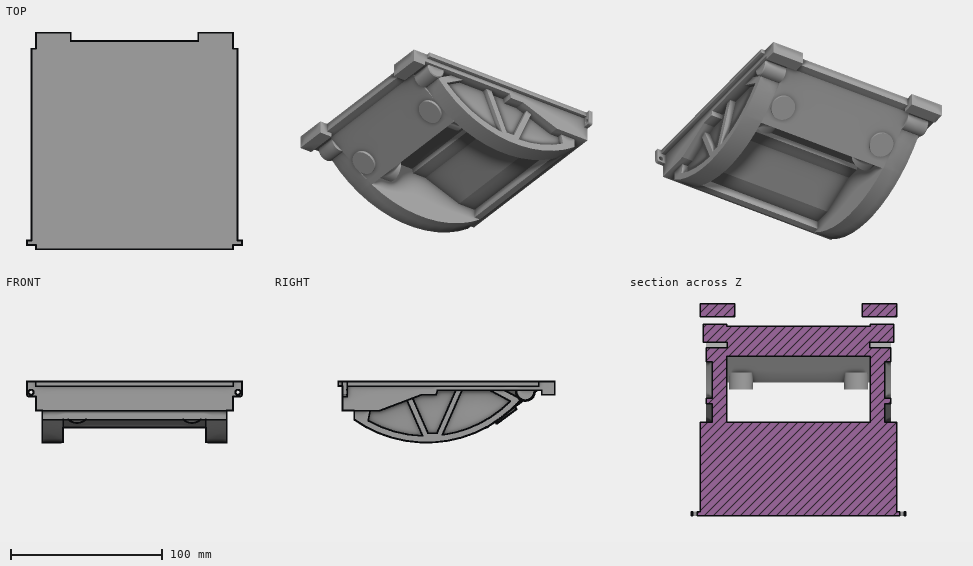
import cadquery as cq
import math


PLATE_HALF_WIDTH = 68.0
PLATE_THICKNESS = 3.0
PLATE_FRONT = -65.6
PLATE_BACK = 61.0

BODY_HALF_WIDTH = 65.0
BODY_FRONT = -68.6
BODY_BACK = 66.1
BODY_THIN_BOTTOM = -5.9
BODY_STEP_TOP_Y = -6.0
BODY_STEP_FOOT_Y = -6.9
BODY_STEP_BOTTOM = -8.9
BODY_SLOPE_TOP_Y = -16.8
BODY_SLOPE_FOOT_Y = -43.9
BODY_DEEP_BOTTOM = -19.2
LIP_FRONT = -71.5

LUG_BACK = 71.5
LUG_FRONT = 62.7
LUG_INNER_X = 42.0
LUG_BOTTOM = -8.8

TAB_HALF_SPAN = 70.95
TAB_BOTTOM = -10.0
TAB_CORNER_RADIUS = 1.6
TAB_HOLE_X = 68.2
TAB_HOLE_Z = -7.1
TAB_HOLE_DIAMETER = 3.2

RIB_OUTER_X = 60.9
RIB_WIDTH = 13.8
RIB_INNER_X = RIB_OUTER_X - RIB_WIDTH
RIB_FRONT = -60.9
RIB_BACK = 49.3
RIB_LOWEST_Z = -40.36
ARC_CENTER_Y = -13.2
ARC_RADIUS = 82.5
ARC_CENTER_Z = RIB_LOWEST_Z + ARC_RADIUS
RIB_BACK_SLOPE = math.tan(math.radians(28.2))

RECESS_DEPTH = 4.0
RIM_INNER_RADIUS = 78.1
BACK_RECESS_CORNER_Y = 42.1
FRONT_RECESS_CORNER_Y = -51.7
FRONT_RECESS_TOP_Y = -50.3
SPOKE_CENTER_Y = -9.25
SPOKE_SLOPE = math.tan(math.radians(23.7))
MIDDLE_RECESS_BOTTOM_Z = -34.0
MIDDLE_RECESS_HALF_BOTTOM = 3.0
SPOKE_FOOT_HALF_SPAN = 6.5

FRONT_WALL_THICKNESS = ARC_RADIUS - RIM_INNER_RADIUS

BARREL_Y = 52.0
BARREL_RADIUS = 6.4
BARREL_BOTTOM = -12.9
BARREL_OUTER_X = 63.0
BARREL_CHAMFER = 0.6
BARREL_Z = BARREL_BOTTOM + BARREL_RADIUS

BACK_WALL_ANGLE = 36.5
BACK_WALL_OFFSET = 82.0
BACK_WALL_THICKNESS = 12.0
BACK_WALL_BOTTOM = -30.4

FOOT_X = 37.9
FOOT_RADIUS = 8.2
FOOT_HEIGHT = 1.9
FOOT_ALONG_WALL = 3.7
BOSS_RADIUS = 8.0
BOSS_BOTTOM = -27.4
BOSS_FRONT = 15.0
BOSS_BACK = 26.0


def box(x_min, x_max, y_min, y_max, z_min, z_max):
    size = (x_max - x_min, y_max - y_min, z_max - z_min)
    return cq.Workplane("XY").box(*size, centered=False).translate((x_min, y_min, z_min))


def centered_box(half_width, y_min, y_max, z_min, z_max):
    return box(-half_width, half_width, y_min, y_max, z_min, z_max)


def both_sides(solid):
    """The solid together with its mirror image across X = 0."""
    return solid.union(solid.mirror("YZ"))


def side_sketch(x):
    """Workplane at the given X whose local axes are Y and Z."""
    return cq.Workplane("YZ", origin=(x, 0, 0))


def arc_z(y, radius):
    """Height of the lower half of a circle about the rib arc center."""
    return ARC_CENTER_Z - math.sqrt(radius**2 - (y - ARC_CENTER_Y) ** 2)


def arc_point(y, radius):
    return (y, arc_z(y, radius))


def make_plate_and_body():
    plate = centered_box(PLATE_HALF_WIDTH, PLATE_FRONT, PLATE_BACK, -PLATE_THICKNESS, 0)
    lip = centered_box(BODY_HALF_WIDTH, LIP_FRONT, PLATE_FRONT, -PLATE_THICKNESS, 0)
    profile = [
        (BODY_FRONT, 0),
        (BODY_FRONT, BODY_DEEP_BOTTOM),
        (BODY_SLOPE_FOOT_Y, BODY_DEEP_BOTTOM),
        (BODY_SLOPE_TOP_Y, BODY_STEP_BOTTOM),
        (BODY_STEP_FOOT_Y, BODY_STEP_BOTTOM),
        (BODY_STEP_TOP_Y, BODY_THIN_BOTTOM),
        (BODY_BACK, BODY_THIN_BOTTOM),
        (BODY_BACK, 0),
    ]
    body = side_sketch(0).polyline(profile).close().extrude(BODY_HALF_WIDTH, both=True)
    return body.union(plate).union(lip)


def make_lug():
    return box(LUG_INNER_X, BODY_HALF_WIDTH, LUG_FRONT, LUG_BACK, LUG_BOTTOM, 0)


def make_tab():
    tab = box(BODY_HALF_WIDTH, TAB_HALF_SPAN, BODY_FRONT, PLATE_FRONT, TAB_BOTTOM, 0)
    tab = tab.edges("|Y and >X and <Z").fillet(TAB_CORNER_RADIUS)
    hole = (
        cq.Workplane("XZ", origin=(TAB_HOLE_X, PLATE_FRONT, TAB_HOLE_Z))
        .circle(TAB_HOLE_DIAMETER / 2)
        .extrude(PLATE_FRONT - BODY_FRONT)
    )
    return tab.cut(hole)


def recess_cutter(foot_side, corner, top_points):
    """Recess between a spoke and the rim; its top is buried in the body.

    foot_side is 1 for the recess behind the spokes and -1 for the one in front of them.
    """
    top = -PLATE_THICKNESS
    foot = arc_point(SPOKE_CENTER_Y + foot_side * SPOKE_FOOT_HALF_SPAN, RIM_INNER_RADIUS)
    rim_middle = arc_point((foot[0] + corner[0]) / 2, RIM_INNER_RADIUS)
    outline = (
        side_sketch(RIB_OUTER_X - RECESS_DEPTH)
        .moveTo(foot[0] + foot_side * (top - foot[1]) * SPOKE_SLOPE, top)
        .lineTo(*foot)
        .threePointArc(rim_middle, corner)
    )
    for point in top_points:
        outline = outline.lineTo(*point)
    return outline.close().extrude(RECESS_DEPTH)


def make_back_recess():
    top = -PLATE_THICKNESS
    corner = arc_point(BACK_RECESS_CORNER_Y, RIM_INNER_RADIUS)
    top_end = (corner[0] - (top - corner[1]) / RIB_BACK_SLOPE, top)
    return recess_cutter(1, corner, [top_end])


def make_front_recess():
    corner = arc_point(FRONT_RECESS_CORNER_Y, RIM_INNER_RADIUS)
    top_points = [(FRONT_RECESS_TOP_Y, BODY_DEEP_BOTTOM), (FRONT_RECESS_TOP_Y, -PLATE_THICKNESS)]
    return recess_cutter(-1, corner, top_points)


def make_middle_recess():
    top = -PLATE_THICKNESS
    half_top = MIDDLE_RECESS_HALF_BOTTOM + (top - MIDDLE_RECESS_BOTTOM_Z) * SPOKE_SLOPE
    outline = [
        (SPOKE_CENTER_Y - half_top, top),
        (SPOKE_CENTER_Y - MIDDLE_RECESS_HALF_BOTTOM, MIDDLE_RECESS_BOTTOM_Z),
        (SPOKE_CENTER_Y + MIDDLE_RECESS_HALF_BOTTOM, MIDDLE_RECESS_BOTTOM_Z),
        (SPOKE_CENTER_Y + half_top, top),
    ]
    return side_sketch(RIB_OUTER_X - RECESS_DEPTH).polyline(outline).close().extrude(RECESS_DEPTH)


def make_rib():
    top = -PLATE_THICKNESS
    back_corner = arc_point(RIB_BACK, ARC_RADIUS)
    rib = (
        side_sketch(RIB_INNER_X)
        .moveTo(RIB_FRONT, top)
        .lineTo(*arc_point(RIB_FRONT, ARC_RADIUS))
        .threePointArc((ARC_CENTER_Y, RIB_LOWEST_Z), back_corner)
        .lineTo(back_corner[0] - (top - back_corner[1]) / RIB_BACK_SLOPE, top)
        .close()
        .extrude(RIB_WIDTH)
    )
    return rib.cut(make_back_recess()).cut(make_middle_recess()).cut(make_front_recess())


def make_barrel():
    return (
        side_sketch(RIB_INNER_X)
        .center(BARREL_Y, BARREL_Z)
        .circle(BARREL_RADIUS)
        .extrude(BARREL_OUTER_X - RIB_INNER_X)
        .faces(">X")
        .chamfer(BARREL_CHAMFER)
    )


def make_front_wall():
    bottom = arc_z(RIB_FRONT, ARC_RADIUS)
    wall_back = RIB_FRONT + FRONT_WALL_THICKNESS
    return centered_box(RIB_INNER_X, RIB_FRONT, wall_back, bottom, BODY_DEEP_BOTTOM)


def back_wall_point(along, outward):
    """(Y, Z) of a point set off along the back wall and outward from its outer face."""
    angle = math.radians(BACK_WALL_ANGLE)
    reach = BACK_WALL_OFFSET + outward
    y = ARC_CENTER_Y + reach * math.sin(angle) + along * math.cos(angle)
    z = ARC_CENTER_Z - reach * math.cos(angle) + along * math.sin(angle)
    return (y, z)


def along_back_wall_at(z, outward):
    """Distance along the back wall at which the given offset line reaches height z."""
    return (z - back_wall_point(0, outward)[1]) / math.sin(math.radians(BACK_WALL_ANGLE))


def make_back_wall():
    foot = along_back_wall_at(BACK_WALL_BOTTOM, 0)
    outer_top = along_back_wall_at(BODY_THIN_BOTTOM, 0)
    inner_top = along_back_wall_at(BODY_THIN_BOTTOM, -BACK_WALL_THICKNESS)
    profile = [
        back_wall_point(foot, 0),
        back_wall_point(outer_top, 0),
        back_wall_point(inner_top, -BACK_WALL_THICKNESS),
        back_wall_point(foot, -BACK_WALL_THICKNESS),
    ]
    return side_sketch(0).polyline(profile).close().extrude(RIB_INNER_X, both=True)


def make_foot():
    angle = math.radians(BACK_WALL_ANGLE)
    y, z = back_wall_point(FOOT_ALONG_WALL, 0)
    plane = cq.Plane(origin=(FOOT_X, y, z), xDir=(1, 0, 0), normal=(0, math.sin(angle), -math.cos(angle)))
    return cq.Workplane(plane).circle(FOOT_RADIUS).extrude(FOOT_HEIGHT)


def make_boss():
    return (
        cq.Workplane("XZ", origin=(FOOT_X, BOSS_BACK, BOSS_BOTTOM + BOSS_RADIUS))
        .circle(BOSS_RADIUS)
        .extrude(BOSS_BACK - BOSS_FRONT)
    )


result = make_plate_and_body().union(make_front_wall()).union(make_back_wall())
for make_feature in (make_lug, make_tab, make_rib, make_barrel, make_foot, make_boss):
    result = result.union(both_sides(make_feature()))